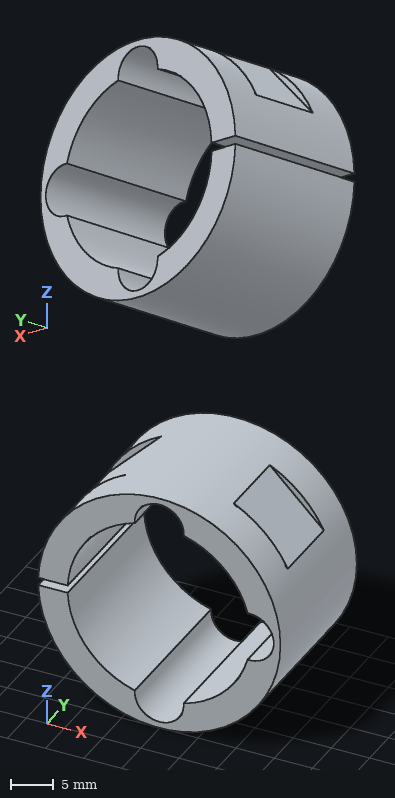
import cadquery as cq
import math

outer_diameter = 31.75
bore_diameter = 24.0
length = 20.14
slit_width = 1.0
lobe_radius = 3.2
lobe_bottom_radius = 15.0
flat_chord = 10.0
flat_length = 9.5

lobe_angles = (0, 90, 270)
slit_angle = 180
flat_angles = (45, 135)

outer_radius = outer_diameter / 2
bore_radius = bore_diameter / 2
lobe_center_radius = lobe_bottom_radius - lobe_radius
flat_radius = math.sqrt(outer_radius**2 - (flat_chord / 2) ** 2)


def turned_about_y(shape, angle):
    """Turn a shape lying on +X toward +Z by the given angle."""
    return shape.rotate((0, 0, 0), (0, 1, 0), -angle)


def block_on_x(x_start, x_size, y_size, z_size):
    """Block reaching along +X from x_start, centred in Y and Z."""
    block = cq.Workplane("XY").box(x_size, y_size, z_size, centered=(False, True, True))
    return block.translate((x_start, 0, 0))


def make_ring():
    """Plain tube along Y, centred on the origin."""
    ring = cq.Workplane("XZ").circle(outer_radius).circle(bore_radius).extrude(length)
    return ring.translate((0, length / 2, 0))


def make_lobe(angle):
    """Groove along the bore with a round bottom and short straight sides."""
    profile = (
        cq.Workplane("XZ", origin=(0, length / 2, 0))
        .moveTo(0, -lobe_radius)
        .lineTo(lobe_center_radius, -lobe_radius)
        .threePointArc((lobe_bottom_radius, 0), (lobe_center_radius, lobe_radius))
        .lineTo(0, lobe_radius)
        .close()
    )
    return turned_about_y(profile.extrude(length), angle)


def make_slit(angle):
    """Slot through one side of the wall over the full length."""
    return turned_about_y(block_on_x(0, outer_diameter, length, slit_width), angle)


def make_flat(angle):
    """Block whose inner face leaves a flat on the outer surface."""
    return turned_about_y(block_on_x(flat_radius, outer_radius, flat_length, flat_chord), angle)


result = make_ring().cut(make_slit(slit_angle))
for lobe_angle in lobe_angles:
    result = result.cut(make_lobe(lobe_angle))
for flat_angle in flat_angles:
    result = result.cut(make_flat(flat_angle))